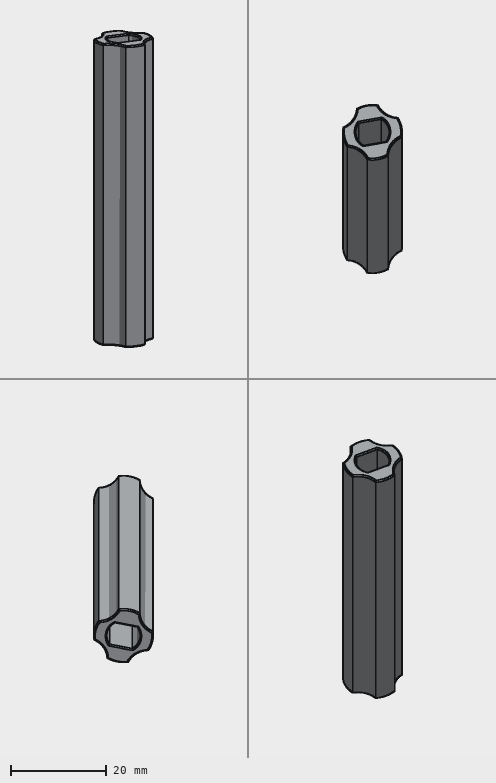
import cadquery as cq
import math

length = 65.62
outer_radius = 6.235

flute_count = 4
first_flute_angle = 45
flute_half_width = 2.51
flute_floor_radius = 5.0

bore_radius = 3.5
bore_flat_distance = 2.55

end_chamfer = 0.3


def flute_cutter_geometry():
    """Radius of the flute arc, and distance of its centre from the body axis."""
    chord_distance = math.sqrt(outer_radius**2 - flute_half_width**2)
    flute_depth = chord_distance - flute_floor_radius
    arc_radius = (flute_half_width**2 + flute_depth**2) / (2 * flute_depth)
    return arc_radius, flute_floor_radius + arc_radius


def fluted_bar():
    """Round bar with the flutes cut along its full length."""
    arc_radius, centre_distance = flute_cutter_geometry()
    flutes = (
        cq.Workplane("XY")
        .polarArray(centre_distance, first_flute_angle, 360, flute_count)
        .circle(arc_radius)
        .extrude(length)
    )
    return cq.Workplane("XY").circle(outer_radius).extrude(length).cut(flutes)


def bore():
    """Bore with two flats, running the full length of the bar."""
    flat_end = math.sqrt(bore_radius**2 - bore_flat_distance**2)
    return (
        cq.Workplane("XY")
        .moveTo(-bore_flat_distance, -flat_end)
        .threePointArc((0, -bore_radius), (bore_flat_distance, -flat_end))
        .lineTo(bore_flat_distance, flat_end)
        .threePointArc((0, bore_radius), (-bore_flat_distance, flat_end))
        .close()
        .extrude(length)
    )


bar = fluted_bar().cut(bore())
result = bar.faces("<Z or >Z").chamfer(end_chamfer)